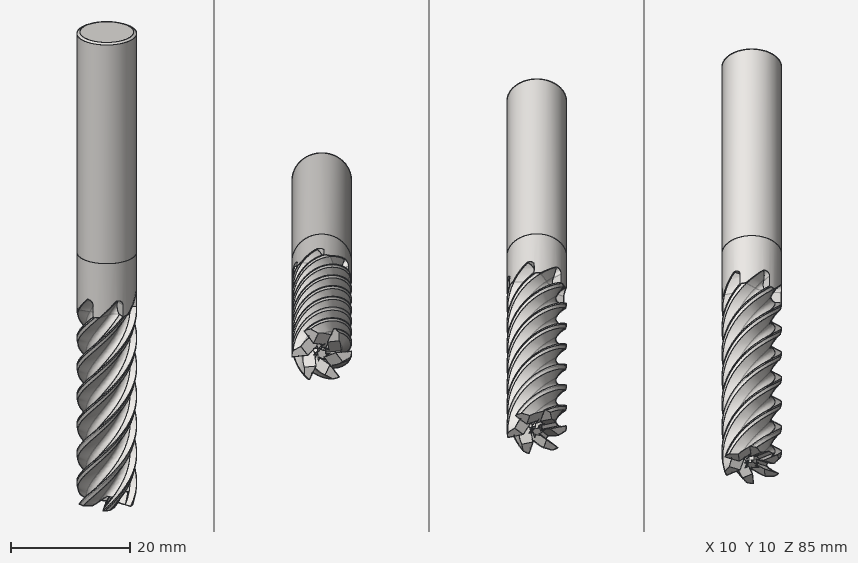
import cadquery as cq
import math

length = 85.0
diameter = 10.0
radius = diameter / 2
cutter_length = 45.0
shank_length = length - cutter_length
shank_chamfer_height = 0.25
shank_chamfer_width = 0.5

flute_count = 6
flute_length = 35.0
runout_height = 3.0
runout_corner_radius = 0.85
helix_angle = 45.0
lead = math.pi * diameter / math.tan(math.radians(helix_angle))
tooth_pitch = 360 / flute_count

margin_angle = 4.0
heel_angle = 13.0
heel_radius = radius - 0.2
back_angle = 33.0
back_radius = 3.5
core_angle = 41.0
core_radius = 3.2
rake_foot_radius = radius - 1.1

gash_height = 1.9
gash_lean = 1.3
gash_top_width = 0.85
gash_width = 2.0
gash_inner_radius = 0.7


def polar(r, angle):
    a = math.radians(angle)
    return (r * math.cos(a), r * math.sin(a))


def twist(height):
    """Angle that the flutes turn through over a height."""
    return 360 * height / lead


def turned(body, angle):
    return body.rotate((0, 0, 0), (0, 0, 1), angle)


def draw_flute(sketch, edge):
    """Carry an outline from the heel of a tooth through the flute to the next cutting edge."""
    next_edge = edge + tooth_pitch
    return (
        sketch.lineTo(*polar(back_radius, edge + back_angle))
        .threePointArc(polar(core_radius, edge + core_angle), polar(rake_foot_radius, next_edge))
        .lineTo(*polar(radius, next_edge))
    )


def make_shank():
    blank = cq.Workplane("XY").workplane(offset=cutter_length).circle(radius).extrude(shank_length)
    return blank.faces(">Z").chamfer(shank_chamfer_height, shank_chamfer_width)


def make_toothed_length():
    section = cq.Workplane("XY").moveTo(radius, 0)
    for i in range(flute_count):
        edge = i * tooth_pitch
        section = section.threePointArc(
            polar(radius, edge + margin_angle / 2), polar(radius, edge + margin_angle)
        )
        section = section.lineTo(*polar(heel_radius, edge + heel_angle))
        section = draw_flute(section, edge)
    return section.close().twistExtrude(flute_length, twist(flute_length))


def make_runout_pocket():
    """End of a flute in the neck, stopped by an axial plane with a rounded top corner."""
    reach = diameter
    outline = cq.Workplane("XY").moveTo(*polar(reach, heel_angle)).lineTo(*polar(heel_radius, heel_angle))
    outline = draw_flute(outline, 0).lineTo(*polar(reach, tooth_pitch))
    flute = outline.close().twistExtrude(runout_height, twist(runout_height))
    limit = (
        cq.Workplane("XY")
        .box(diameter, diameter, runout_height, centered=(False, False, False))
        .translate((0, -diameter, 0))
        .edges(">Y and >Z")
        .fillet(runout_corner_radius)
    )
    pocket = flute.intersect(turned(limit, tooth_pitch))
    return turned(pocket, twist(flute_length)).translate((0, 0, flute_length))


def make_end_gash():
    """Radial notch in the end, leaning along the rake face of the tooth at angle zero."""
    return (
        cq.Workplane("YZ")
        .workplane(offset=gash_inner_radius)
        .polyline(
            [
                (0, 0),
                (gash_lean, gash_height),
                (gash_lean - gash_top_width, gash_height),
                (-gash_width, 0),
            ]
        )
        .close()
        .extrude(diameter)
    )


def around_axis(body):
    """Join one copy of a body for each flute."""
    ring = body
    for i in range(1, flute_count):
        ring = ring.union(turned(body, i * tooth_pitch))
    return ring


def make_cutter():
    neck_length = cutter_length - flute_length
    neck = cq.Workplane("XY").workplane(offset=flute_length).circle(radius).extrude(neck_length)
    neck = neck.cut(around_axis(make_runout_pocket()))
    teeth = make_toothed_length().cut(around_axis(make_end_gash()), clean=False)
    return teeth.union(neck, glue=True, clean=False)


shank = make_shank()
cutter = make_cutter()
result = cq.Compound.makeCompound([shank.val(), cutter.val()])